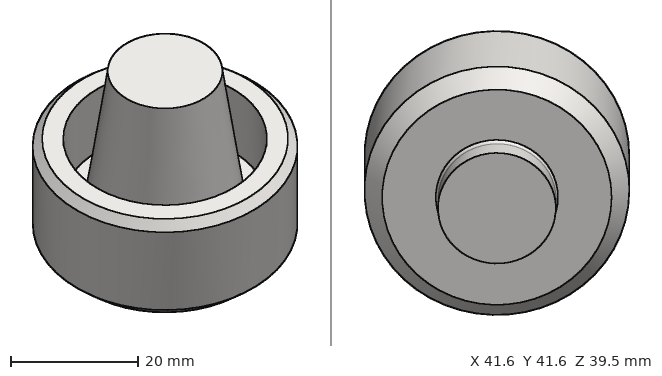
import cadquery as cq
import math

total_height = 39.5
housing_bottom = 5.0
housing_top = 25.5

housing_diameter = 41.6
bore_diameter = 32.0
cup_floor = 12.48
top_chamfer = 1.5
bottom_chamfer_height = 2.9
bottom_chamfer_width = 2.8

taper_start = 14.0
plug_base_diameter = 25.0
plug_top_diameter = 18.0

foot_diameter = 18.5
flare_radius = 1.0
flare_height = 0.75


def make_housing():
    outer_radius = housing_diameter / 2
    bore_radius = bore_diameter / 2
    return (
        cq.Workplane("XZ")
        .moveTo(0, housing_bottom)
        .lineTo(outer_radius - bottom_chamfer_width, housing_bottom)
        .lineTo(outer_radius, housing_bottom + bottom_chamfer_height)
        .lineTo(outer_radius, housing_top - top_chamfer)
        .lineTo(outer_radius - top_chamfer, housing_top)
        .lineTo(bore_radius, housing_top)
        .lineTo(bore_radius, cup_floor)
        .lineTo(0, cup_floor)
        .close()
        .revolve(360, (0, 0, 0), (0, 1, 0))
    )


def make_plug():
    base_radius = plug_base_diameter / 2
    return (
        cq.Workplane("XZ")
        .moveTo(0, cup_floor)
        .lineTo(base_radius, cup_floor)
        .lineTo(base_radius, taper_start)
        .lineTo(plug_top_diameter / 2, total_height)
        .lineTo(0, total_height)
        .close()
        .revolve(360, (0, 0, 0), (0, 1, 0))
    )


def make_foot():
    foot_radius = foot_diameter / 2
    flare_start = housing_bottom - flare_height

    sweep = math.asin(flare_height / flare_radius)

    def flare_point(angle):
        x = foot_radius + flare_radius * (1 - math.cos(angle))
        z = flare_start + flare_radius * math.sin(angle)
        return (x, z)

    return (
        cq.Workplane("XZ")
        .lineTo(foot_radius, 0)
        .lineTo(foot_radius, flare_start)
        .threePointArc(flare_point(sweep / 2), flare_point(sweep))
        .lineTo(0, housing_bottom)
        .close()
        .revolve(360, (0, 0, 0), (0, 1, 0))
    )


housing = make_housing()
plug = make_plug()
foot = make_foot()

result = cq.Compound.makeCompound([housing.val(), plug.val(), foot.val()])